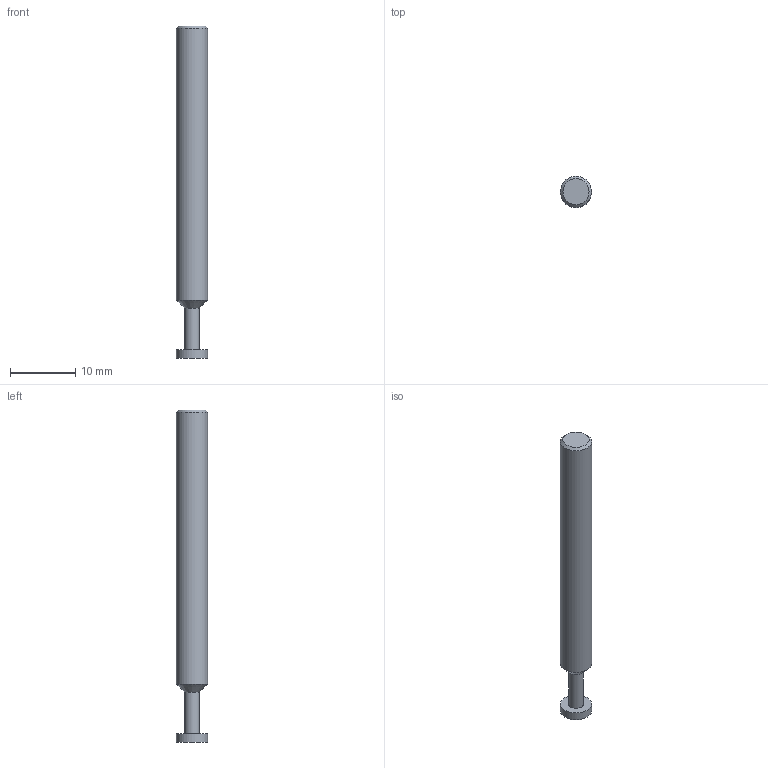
import cadquery as cq

body_diameter = 4.763
neck_diameter = 2.286
total_length = 50.8

foot_thickness = 1.27
neck_length = 6.35
top_chamfer = 0.381

body_radius = body_diameter / 2
neck_radius = neck_diameter / 2

shoulder_height = body_radius - neck_radius
shoulder_start = foot_thickness + neck_length
body_start = shoulder_start + shoulder_height


def turned_pin():
    """Foot disc, thin neck, conical shoulder and long body, revolved about Z."""
    half_profile = (
        cq.Workplane("XZ")
        .moveTo(0, 0)
        .lineTo(body_radius, 0)
        .lineTo(body_radius, foot_thickness)
        .lineTo(neck_radius, foot_thickness)
        .lineTo(neck_radius, shoulder_start)
        .lineTo(body_radius, body_start)
        .lineTo(body_radius, total_length - top_chamfer)
        .lineTo(body_radius - top_chamfer, total_length)
        .lineTo(0, total_length)
        .close()
    )
    axis_start = (0, 0, 0)
    axis_end = (0, 1, 0)
    return half_profile.revolve(360, axis_start, axis_end)


result = turned_pin()